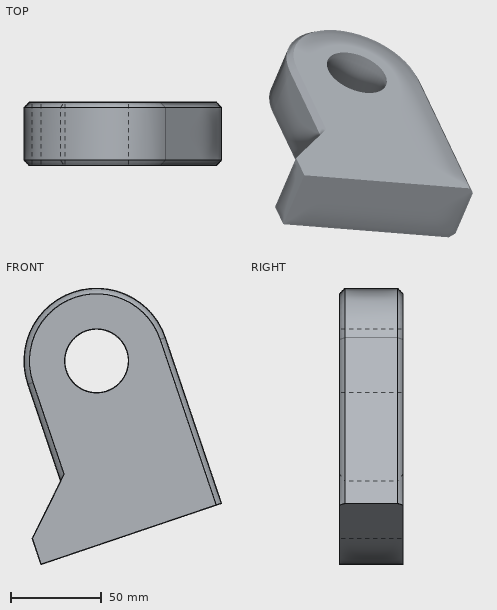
import cadquery as cq
import math

overall_height = 152.3
thickness = 35.0
eye_radius = 40.0
bore_radius = 17.5
toe_length = 25.0
toe_height = 15.0
chamfer = 3.0
tilt = 18.7

tilt_angle = math.radians(tilt)
toe_drop = (eye_radius + toe_length) * math.sin(tilt_angle)
eye_height = (overall_height - eye_radius - toe_drop) / math.cos(tilt_angle)


def make_shank():
    """Upright round-topped bar, chamfered on all but its foot edges."""
    bar = (
        cq.Workplane("XZ")
        .moveTo(-eye_radius, -eye_height)
        .lineTo(eye_radius, -eye_height)
        .lineTo(eye_radius, 0)
        .threePointArc((0, eye_radius), (-eye_radius, 0))
        .close()
        .extrude(thickness / 2, both=True)
    )
    return bar.faces("|Y").edges("not <Z").chamfer(chamfer)


def make_toe():
    """Square-edged toe whose 45 degree slope runs inward past the shank chamfer."""
    tip_x = -eye_radius - toe_length
    inner_x = -eye_radius + chamfer
    slope_top = toe_height + inner_x - tip_x
    outline = [
        (tip_x, -eye_height),
        (inner_x, -eye_height),
        (inner_x, slope_top - eye_height),
        (tip_x, toe_height - eye_height),
    ]
    return cq.Workplane("XZ").polyline(outline).close().extrude(thickness / 2, both=True)


bore = cq.Workplane("XZ", origin=(0, thickness / 2, 0)).circle(bore_radius).extrude(thickness)

upright = make_shank().union(make_toe()).cut(bore)
result = upright.rotate((0, 0, 0), (0, 1, 0), -tilt)